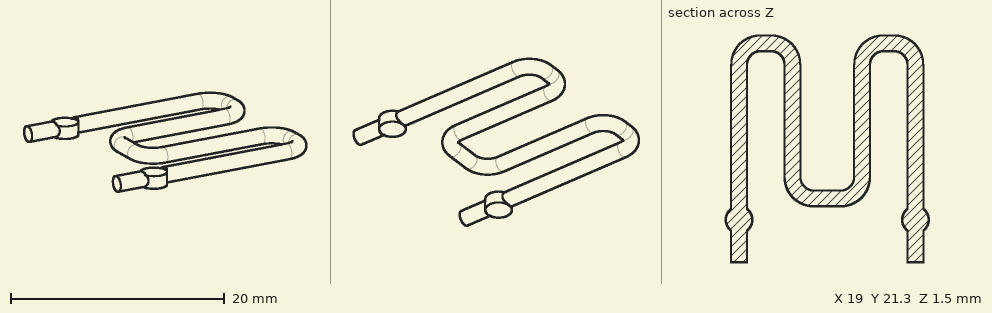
import cadquery as cq

tube_diameter = 1.5
total_length = 21.25
bend_radius = 2.0
outer_flat = 1.0
middle_flat = 2.5
middle_loop_y = 6.0

pad_diameter = 2.5
pad_height = 1.25
pad_y = 4.0

tube_radius = tube_diameter / 2
inner_x = middle_flat / 2 + bend_radius
leg_x = inner_x + outer_flat + 2 * bend_radius
top_y = total_length - tube_radius
upper_bend_y = top_y - bend_radius
lower_bend_y = middle_loop_y + bend_radius


def tube_centreline():
    """M-shaped path from the left tube end to the right one."""
    return (
        cq.Workplane("XY")
        .moveTo(-leg_x, 0)
        .lineTo(-leg_x, upper_bend_y)
        .tangentArcPoint((-leg_x + bend_radius, top_y), relative=False)
        .lineTo(-inner_x - bend_radius, top_y)
        .tangentArcPoint((-inner_x, upper_bend_y), relative=False)
        .lineTo(-inner_x, lower_bend_y)
        .tangentArcPoint((-inner_x + bend_radius, middle_loop_y), relative=False)
        .lineTo(inner_x - bend_radius, middle_loop_y)
        .tangentArcPoint((inner_x, lower_bend_y), relative=False)
        .lineTo(inner_x, upper_bend_y)
        .tangentArcPoint((inner_x + bend_radius, top_y), relative=False)
        .lineTo(leg_x - bend_radius, top_y)
        .tangentArcPoint((leg_x, upper_bend_y), relative=False)
        .lineTo(leg_x, 0)
    )


def pad_cylinders(height):
    """Vertical cylinders at both pad positions, rising from the tube's underside."""
    return (
        cq.Workplane("XY", origin=(0, 0, -tube_radius))
        .pushPoints([(-leg_x, pad_y), (leg_x, pad_y)])
        .circle(pad_diameter / 2)
        .extrude(height)
    )


tube = (
    cq.Workplane("XZ", origin=(-leg_x, 0, 0))
    .circle(tube_radius)
    .sweep(tube_centreline())
)

result = tube.cut(pad_cylinders(tube_diameter)).union(pad_cylinders(pad_height))